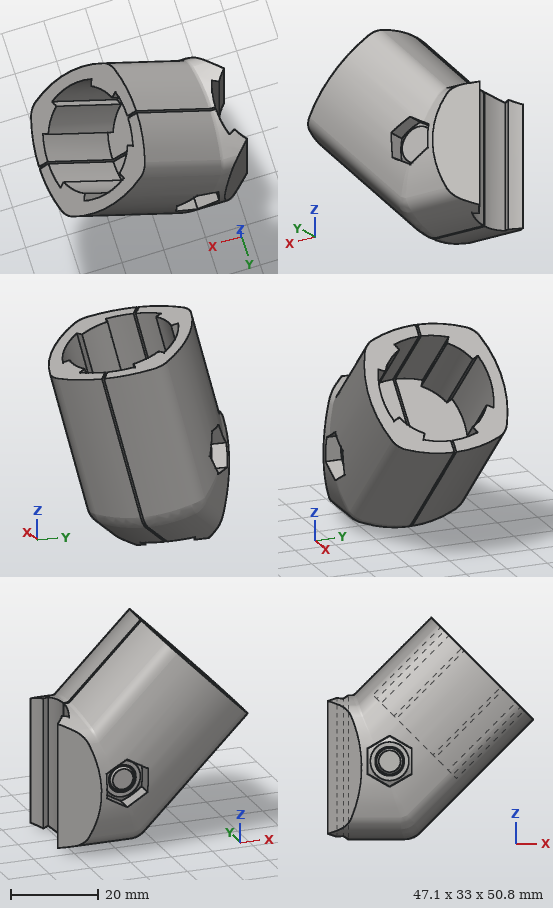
import cadquery as cq
import math

WIDTH = 33.0
SIDE_RADIUS = 30.0
CORNER_RADIUS = 5.0

BEND_ANGLE = 45.0
TUBE_ARM_LENGTH = 32.0
SADDLE_AXIS_X = -21.55
OUTER_BEND_FILLET = 5.0
INNER_BEND_FILLET = 1.0

BORE_RADIUS = 12.35
BORE_DEPTH = 22.0
GROOVE_REACH = 13.5
GROOVE_CORNER_RADIUS = 14.0
GROOVE_HALF_ANGLE = 28.6
GROOVE_SPACING = 90.0

SPLIT_GAP = 0.5

BOLT_OFFSET = 2.0
BOLT_RADIUS = 3.0
BOLT_TIP_RADIUS = 2.5
BOLT_TIP_Y = 13.4
POCKET_ACROSS_FLATS = 10.15
HEX_ACROSS_FLATS = 10.0
HEX_FACE_Y = 13.0
HEX_HEIGHT = 5.0
HEX_FACE_RADIUS = 4.4
HEX_CHAMFER_ANGLE = 30.0
NUT_MOUTH_RADIUS = 3.35

HALF_WIDTH = WIDTH / 2
BEYOND = 4 * WIDTH
TOLERANCE = 0.005
POCKET_FLOOR_Y = HEX_FACE_Y - HEX_HEIGHT
BEND = math.radians(BEND_ANGLE)
HEX_CORNER_RADIUS = HEX_ACROSS_FLATS / math.sqrt(3)
POCKET_CORNER_RADIUS = POCKET_ACROSS_FLATS / math.sqrt(3)
BOLT_X = BOLT_OFFSET * math.cos(BEND)
BOLT_Z = BOLT_OFFSET * math.sin(BEND)
TUBE_AXIS = cq.Vector(math.cos(BEND), 0, math.sin(BEND))


def polar(radius, degrees):
    """Point at a radius and an angle in degrees."""
    angle = math.radians(degrees)
    return radius * math.cos(angle), radius * math.sin(angle)


def outer_section(plane):
    """Bulged square: four side arcs, with the corners rounded tangent to them."""
    arc_center = SIDE_RADIUS - HALF_WIDTH
    inner_radius = SIDE_RADIUS - CORNER_RADIUS
    corner_center = (math.sqrt(2 * inner_radius**2 - arc_center**2) - arc_center) / 2
    scale = SIDE_RADIUS / inner_radius
    far = (corner_center + arc_center) * scale - arc_center
    near = corner_center * scale
    corner_mid = corner_center + CORNER_RADIUS * math.sqrt(0.5)
    return (
        cq.Workplane(plane)
        .moveTo(far, -near)
        .threePointArc((HALF_WIDTH, 0), (far, near))
        .threePointArc((corner_mid, corner_mid), (near, far))
        .threePointArc((0, HALF_WIDTH), (-near, far))
        .threePointArc((-corner_mid, corner_mid), (-far, near))
        .threePointArc((-HALF_WIDTH, 0), (-far, -near))
        .threePointArc((-corner_mid, -corner_mid), (-near, -far))
        .threePointArc((0, -HALF_WIDTH), (near, -far))
        .threePointArc((corner_mid, -corner_mid), (far, -near))
        .close()
    )


def elbow_blank():
    """Both arms, mitred at the bend."""
    end = TUBE_AXIS * TUBE_ARM_LENGTH
    path = cq.Workplane("XZ").polyline([(SADDLE_AXIS_X, 0), (0, 0), (end.x, end.z)])
    start = cq.Plane(origin=(SADDLE_AXIS_X, 0, 0), xDir=(0, 1, 0), normal=(1, 0, 0))
    return outer_section(start).sweep(path, transition="right")


def bore_cutter(plane, length):
    """Pipe bore with its four grooves."""
    cutter = cq.Workplane(plane).circle(BORE_RADIUS).extrude(length)
    for index in range(4):
        middle = index * GROOVE_SPACING
        groove = (
            cq.Workplane(plane)
            .moveTo(0, 0)
            .lineTo(*polar(GROOVE_CORNER_RADIUS, middle - GROOVE_HALF_ANGLE))
            .threePointArc(
                polar(GROOVE_REACH, middle),
                polar(GROOVE_CORNER_RADIUS, middle + GROOVE_HALF_ANGLE),
            )
            .close()
            .extrude(length)
        )
        cutter = cutter.union(groove)
    return cutter


def bolt_plane(y):
    """Plane square to the bolt axis, its normal pointing along +Y."""
    return cq.Plane(origin=(BOLT_X, y, BOLT_Z), xDir=(0, 0, 1), normal=(0, 1, 0))


def hexagon(corner_radius, start_y, end_y):
    """Hexagonal prism around the bolt axis, with two flats facing along X."""
    return cq.Workplane(bolt_plane(start_y)).polygon(6, 2 * corner_radius).extrude(end_y - start_y)


def cone(base_y, base_radius, tip_y, tip_radius):
    """Tapered disc on the bolt axis."""
    return (
        cq.Workplane(bolt_plane(base_y))
        .circle(base_radius)
        .workplane(offset=tip_y - base_y)
        .circle(tip_radius)
        .loft()
    )


def is_bend_edge(edge, side):
    """True for edges in the mitre plane of the bend, on its outer (-1) or inner (+1) side."""
    half = BEND / 2
    ends = (edge.startPoint(), edge.endPoint())
    in_plane = all(abs(p.x * math.cos(half) + p.z * math.sin(half)) < TOLERANCE for p in ends)
    return in_plane and edge.Center().z * side > 0


def round_bend(body, side, radius):
    """Fillet the bend on its outer (-1) or inner (+1) side."""
    edges = [edge for edge in body.edges().vals() if is_bend_edge(edge, side)]
    return body.newObject(edges).fillet(radius)


def saddle_keeper():
    """Wedge that leaves the saddle end with two faces at 45 degrees to the middle plane."""
    end_x = SADDLE_AXIS_X + BEYOND
    return (
        cq.Workplane("XY")
        .polyline([(SADDLE_AXIS_X, 0), (end_x, BEYOND), (end_x, -BEYOND)])
        .close()
        .extrude(BEYOND, both=True)
    )


def connector():
    """Both halves as one block, with the pipe bores but neither split nor bolt hole."""
    body = elbow_blank()
    body = body.cut(hexagon(POCKET_CORNER_RADIUS, -WIDTH, -POCKET_FLOOR_Y))
    body = body.cut(hexagon(POCKET_CORNER_RADIUS, POCKET_FLOOR_Y, WIDTH))
    body = round_bend(body, -1, OUTER_BEND_FILLET)
    body = round_bend(body, 1, INNER_BEND_FILLET)

    end = TUBE_AXIS * TUBE_ARM_LENGTH
    tube_end = cq.Plane(origin=end.toTuple(), xDir=(0, 1, 0), normal=(-TUBE_AXIS).toTuple())
    saddle_bottom = cq.Plane(origin=(SADDLE_AXIS_X, 0, -WIDTH))
    return (
        body.cut(bore_cutter(tube_end, BORE_DEPTH))
        .intersect(saddle_keeper())
        .cut(bore_cutter(saddle_bottom, 2 * WIDTH))
    )


def half_of(block, side):
    """The part of the block on one side of the split gap, with its bolt hole."""
    center_y = side * (BEYOND + SPLIT_GAP) / 2
    half_space = cq.Workplane("XY").box(BEYOND, BEYOND, BEYOND).translate((0, center_y, 0))
    hole = cq.Workplane(bolt_plane(-HALF_WIDTH)).circle(BOLT_RADIUS).extrude(WIDTH)
    return block.intersect(half_space).cut(hole)


def hex_end():
    """Hexagon in the -Y pocket, its outer corners chamfered."""
    rise = (HEX_CORNER_RADIUS - HEX_FACE_RADIUS) * math.tan(math.radians(HEX_CHAMFER_ANGLE))
    shoulder_y = HEX_FACE_Y - rise
    corners = cone(-shoulder_y, HEX_CORNER_RADIUS, -HEX_FACE_Y, HEX_FACE_RADIUS)
    chamfered_end = hexagon(HEX_CORNER_RADIUS, -HEX_FACE_Y, -shoulder_y).intersect(corners)
    return hexagon(HEX_CORNER_RADIUS, -shoulder_y, -POCKET_FLOOR_Y).union(chamfered_end)


def bolt_with_nut():
    """Shank from the head at +Y to the nut at -Y, ending in a chamfered tip."""
    tip_chamfer = BOLT_RADIUS - BOLT_TIP_RADIUS
    tip_base_y = BOLT_TIP_Y - tip_chamfer
    mouth_depth = NUT_MOUTH_RADIUS - BOLT_RADIUS
    mouth = cone(-HEX_FACE_Y, NUT_MOUTH_RADIUS, mouth_depth - HEX_FACE_Y, BOLT_RADIUS)
    shank = cq.Workplane(bolt_plane(-tip_base_y)).circle(BOLT_RADIUS).extrude(tip_base_y + POCKET_FLOOR_Y)
    tip = cone(-tip_base_y, BOLT_RADIUS, -BOLT_TIP_Y, BOLT_TIP_RADIUS)
    nut = hex_end().cut(mouth)
    head = hex_end().mirror("XZ")
    return nut.union(shank).union(tip).union(head)


block = connector()

bolted_half = half_of(block, -1).union(bolt_with_nut())
plain_half = half_of(block, 1)

result = cq.Compound.makeCompound([bolted_half.val(), plain_half.val()])